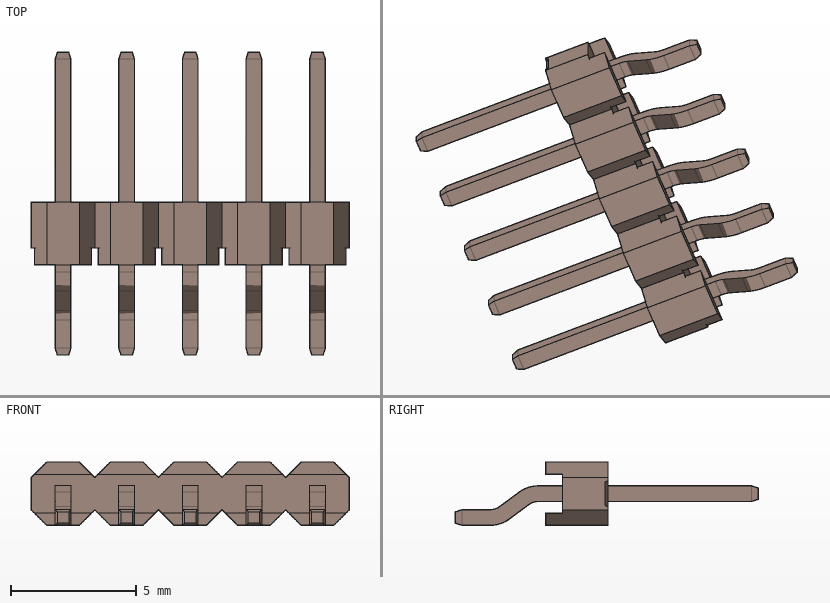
import cadquery as cq
import math

PIN_COUNT = 5
PITCH = 2.54

BODY_HEIGHT = PITCH
BODY_DEPTH = 2.5
CELL_CHAMFER = 0.62
LIP_THICKNESS = 0.5
LIP_LENGTH = 0.67

GROOVE_DEPTH = 0.13
GROOVE_HALF_WIDTH = GROOVE_DEPTH
GROOVE_HEIGHT = 1.07
GROOVE_END_TAPER = 0.08

PIN_SIZE = 0.64
REAR_LENGTH = 6.0
FRONT_LENGTH = 3.61
BEND_START = 0.29
BEND_INNER_RADIUS = 0.64
BEND_ANGLE = math.radians(36.5)
TIP_LENGTH = 0.28
TIP_INSET = 0.09

ROW_LENGTH = PIN_COUNT * PITCH
PIN_DROP = (BODY_HEIGHT - PIN_SIZE) / 2
REAR_TIP_Y = REAR_LENGTH - TIP_LENGTH
FRONT_TIP_Y = TIP_LENGTH - FRONT_LENGTH - BODY_DEPTH
PIN_CENTERS = [(i - (PIN_COUNT - 1) / 2) * PITCH for i in range(PIN_COUNT)]
CELL_EDGES = [i * PITCH - ROW_LENGTH / 2 for i in range(PIN_COUNT + 1)]


def make_cell(x):
    """One octagonal body cell with a slot across its front that leaves two lips."""
    cell = (
        cq.Workplane("XY")
        .box(PITCH, BODY_DEPTH, BODY_HEIGHT)
        .edges("|Y")
        .chamfer(CELL_CHAMFER)
        .translate((x, -BODY_DEPTH / 2, 0))
    )
    slot = (
        cq.Workplane("XY")
        .box(PITCH, LIP_LENGTH, BODY_HEIGHT - 2 * LIP_THICKNESS)
        .translate((x, LIP_LENGTH / 2 - BODY_DEPTH, 0))
    )
    return cell.cut(slot)


def make_groove(x):
    """V-shaped groove cutter in the rear face, with sloping ends."""
    bottom_height = GROOVE_HEIGHT - 2 * GROOVE_END_TAPER
    v_groove = (
        cq.Workplane("XY")
        .moveTo(-GROOVE_HALF_WIDTH, 0)
        .lineTo(GROOVE_HALF_WIDTH, 0)
        .lineTo(0, -GROOVE_DEPTH)
        .close()
        .extrude(GROOVE_HEIGHT / 2, both=True)
    )
    sloped_ends = (
        cq.Workplane("YZ")
        .moveTo(0, -GROOVE_HEIGHT / 2)
        .lineTo(0, GROOVE_HEIGHT / 2)
        .lineTo(-GROOVE_DEPTH, bottom_height / 2)
        .lineTo(-GROOVE_DEPTH, -bottom_height / 2)
        .close()
        .extrude(GROOVE_HALF_WIDTH, both=True)
    )
    return v_groove.intersect(sloped_ends).translate((x, 0, 0))


def make_pin_path():
    """Centerline of the bent pin between its two tapered tips."""
    radius = BEND_INNER_RADIUS + PIN_SIZE / 2
    arc_run = radius * math.sin(BEND_ANGLE)
    arc_drop = radius * (1 - math.cos(BEND_ANGLE))
    half_run = radius * math.sin(BEND_ANGLE / 2)
    half_drop = radius * (1 - math.cos(BEND_ANGLE / 2))
    slope_drop = PIN_DROP - 2 * arc_drop
    slope_run = slope_drop / math.tan(BEND_ANGLE)

    bend_y = -BODY_DEPTH - BEND_START
    slope_y = bend_y - arc_run
    slope_end_y = slope_y - slope_run
    foot_y = slope_end_y - arc_run
    return (
        cq.Workplane("YZ")
        .moveTo(REAR_TIP_Y, 0)
        .lineTo(bend_y, 0)
        .threePointArc((bend_y - half_run, -half_drop), (slope_y, -arc_drop))
        .lineTo(slope_end_y, -arc_drop - slope_drop)
        .threePointArc((foot_y + half_run, half_drop - PIN_DROP), (foot_y, -PIN_DROP))
        .lineTo(FRONT_TIP_Y, -PIN_DROP)
    )


def make_tip(base_y, z, direction):
    """Tapered square tip that starts at base_y and points along direction * Y."""
    tip_size = PIN_SIZE - 2 * TIP_INSET
    base = cq.Plane(origin=(0, base_y, z), xDir=(1, 0, 0), normal=(0, direction, 0))
    return (
        cq.Workplane(base)
        .rect(PIN_SIZE, PIN_SIZE)
        .workplane(offset=TIP_LENGTH)
        .rect(tip_size, tip_size)
        .loft(ruled=True)
    )


def make_pin():
    """One bent square pin with a tapered tip at each end."""
    shank = cq.Workplane("XZ", origin=(0, REAR_TIP_Y, 0)).rect(PIN_SIZE, PIN_SIZE).sweep(make_pin_path())
    return shank.union(make_tip(REAR_TIP_Y, 0, 1)).union(make_tip(FRONT_TIP_Y, -PIN_DROP, -1))


result = make_cell(PIN_CENTERS[0])
for center in PIN_CENTERS[1:]:
    result = result.union(make_cell(center))
for edge in CELL_EDGES:
    result = result.cut(make_groove(edge))

pin = make_pin()
for center in PIN_CENTERS:
    result = result.union(pin.translate((center, 0, 0)))